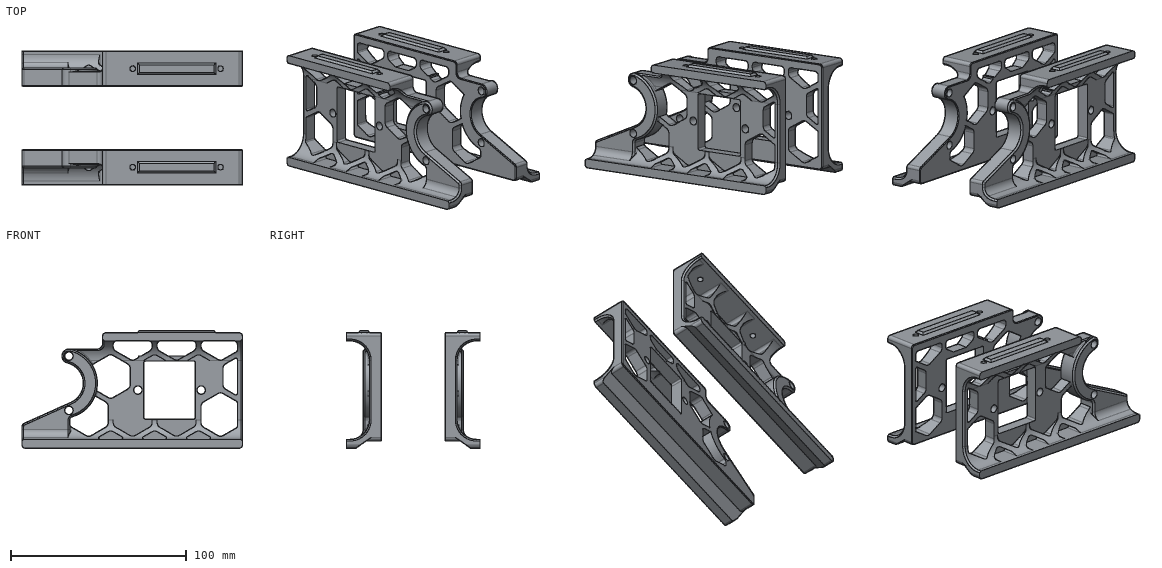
import cadquery as cq
import math

LENGTH = 125.5
SPAN = 76.0
PLATE_TOP = 65.8
PAD_HEIGHT = 1.3

LIP = 2.0
COVE_RADIUS = 11.0
WEB = 7.0
WEB_FACE = LIP + COVE_RADIUS
WIDTH = WEB_FACE + WEB
LOWER_FLANGE_TOP = 5.1
UPPER_FLANGE_BOTTOM = 61.1

FOOT_WIDTH = 5.3
STEP_RUN = 5.9
STEP_RISE = 4.1

EDGE_ROUND = 2.0
INNER_CHAMFER = 0.5
OUTER_CHAMFER = 1.0

HOOK_X = 23.03
HOOK_Z = 37.0
HOOK_RADIUS = 15.88
HOOK_HALF_WIDTH = 4.0
HOOK_HOLE_RISE = 15.4
HOOK_FACE = 9.5
NOSE_HEIGHT = 13.7
NOSE_BASE_END = 27.2
HOOK_COVE = 5.0
HOOK_FILLET = 0.6
STEP_X = 45.8
STEP_COVE = 3.0

HEX_PITCH = 25.0
HEX_FLATS = 22.1
HEX_ROUND = 3.0
TRIM_ROUND = 0.8
TOP_TRIM_ROUND = 2.0
HEX_X = 88.0
HEX_Z = 62.5
HEX_RIGHT_LIMIT = 122.5

THROUGH_CELLS = [(0, -1), (0, 0), (0, 1), (1, -1.5), (1, 1.5), (2, -2), (2, 1)]
POCKET_CELLS = [(0, 0), (1, -0.5), (1, 0.5), (2, -1), (2, 0), (3, -1.5), (3, -0.5), (3, 0.5)]

WINDOW_X = 84.0
WINDOW_Z = 33.1
WINDOW_LENGTH = 29.2
WINDOW_HEIGHT = 33.0
WINDOW_ROUND = 1.0
WINDOW_BORDER = 3.0
SCREW_SPACING = 36.0
SCREW_DIAMETER = 4.6

PAD_LENGTH = 44.7
PAD_WIDTH = 6.5
PAD_BEVEL = 1.1
PAD_DEPTH = WIDTH / 2
PIN_SPACING = 50.0
PIN_DIAMETER = 3.1
PIN_DEPTH = 10.0

TOLERANCE = 0.01

HOOK_INNER = HOOK_RADIUS - HOOK_HALF_WIDTH
HOOK_OUTER = HOOK_RADIUS + HOOK_HALF_WIDTH
HOLE_ANGLE = math.asin(HOOK_HOLE_RISE / HOOK_RADIUS)
HOOK_HOLE_X = HOOK_X + HOOK_RADIUS * math.cos(HOLE_ANGLE)
LOBE_Z = HOOK_Z + HOOK_HOLE_RISE
ARM_TOP = LOBE_Z + HOOK_HALF_WIDTH


def hook_point(radius, angle):
    """Point at a radius and angle from the hook centre, as (x, z)."""
    return HOOK_X + radius * math.cos(angle), HOOK_Z + radius * math.sin(angle)


def nose_tangent_angle():
    """Angle on the inner hook circle where the line from the nose corner is tangent."""
    drop = NOSE_HEIGHT - HOOK_Z
    to_nose = math.atan2(drop, -HOOK_X)
    return to_nose + math.acos(HOOK_INNER / math.hypot(HOOK_X, drop))


NOSE_TANGENT = hook_point(HOOK_INNER, nose_tangent_angle())
LOBE_INNER = hook_point(HOOK_INNER, HOLE_ANGLE)
LOBE_OUTER = hook_point(HOOK_OUTER, HOLE_ANGLE)
LOBE_LEFT = (HOOK_HOLE_X - HOOK_HALF_WIDTH, LOBE_Z)


def side_plane(depth):
    """XZ sketch plane at a depth from the outer edge; a negative extrusion goes inward."""
    return cq.Workplane("XZ", origin=(0, depth, 0))


def box(x0, x1, y0, y1, z0, z1):
    return cq.Workplane("XY").box(x1 - x0, y1 - y0, z1 - z0, centered=False).translate((x0, y0, z0))


def edges_near(body, points):
    selected = body.newObject([])
    for p in points:
        selected = selected.add(body.edges(cq.selectors.NearestToPointSelector(p)))
    return selected


def outline_block():
    block = (
        side_plane(0)
        .moveTo(0, 0)
        .lineTo(LENGTH, 0)
        .lineTo(LENGTH, PLATE_TOP)
        .lineTo(STEP_X, PLATE_TOP)
        .lineTo(STEP_X, ARM_TOP)
        .lineTo(HOOK_HOLE_X, ARM_TOP)
        .threePointArc(LOBE_LEFT, LOBE_INNER)
        .threePointArc((HOOK_X + HOOK_INNER, HOOK_Z), NOSE_TANGENT)
        .lineTo(0, NOSE_HEIGHT)
        .close()
        .extrude(-WIDTH)
    )
    mid = WIDTH / 2
    block = edges_near(block, [(0, mid, NOSE_HEIGHT), (STEP_X, mid, PLATE_TOP), (LENGTH, mid, PLATE_TOP)]
                       ).fillet(EDGE_ROUND)
    return edges_near(block, [(STEP_X, mid, ARM_TOP)]).fillet(STEP_COVE)


def underside_step():
    slope_end = FOOT_WIDTH + STEP_RUN
    return (
        cq.Workplane("YZ")
        .polyline([(FOOT_WIDTH, 0), (slope_end, STEP_RISE), (WIDTH, STEP_RISE), (WIDTH, 0)])
        .close()
        .extrude(LENGTH)
    )


def cove_cutter():
    """Channel between the flanges, with a large cove against the web at each flange."""
    low = LOWER_FLANGE_TOP + COVE_RADIUS
    high = UPPER_FLANGE_BOTTOM - COVE_RADIUS
    reach = COVE_RADIUS * math.sqrt(0.5)
    return (
        cq.Workplane("YZ")
        .moveTo(0, LOWER_FLANGE_TOP)
        .lineTo(LIP, LOWER_FLANGE_TOP)
        .threePointArc((LIP + reach, low - reach), (WEB_FACE, low))
        .lineTo(WEB_FACE, high)
        .threePointArc((LIP + reach, high + reach), (LIP, UPPER_FLANGE_BOTTOM))
        .lineTo(0, UPPER_FLANGE_BOTTOM)
        .close()
        .extrude(LENGTH)
    )


def frame_blank():
    block = outline_block().cut(underside_step())
    ends = []
    for x in (0, LENGTH):
        ends += [(x, FOOT_WIDTH / 2, 0), (x, WIDTH - 1.3, STEP_RISE)]
    block = edges_near(block, ends).fillet(EDGE_ROUND)
    return block.faces(">Y").edges().chamfer(INNER_CHAMFER)


def is_in_channel(edge, deepest):
    """True for an edge of a channel: off the outer edge, and not beyond its deepest face."""
    box_of_edge = edge.BoundingBox()
    return (
        box_of_edge.ymax < deepest + TOLERANCE
        and box_of_edge.zmin > LOWER_FLANGE_TOP - TOLERANCE
        and box_of_edge.zmax < UPPER_FLANGE_BOTTOM + TOLERANCE
        and box_of_edge.ymax > TOLERANCE
    )


def chamfered_frame(blank):
    frame = blank.cut(cove_cutter())

    def exposed(edge):
        b = edge.BoundingBox()
        on_end = b.xmin > LENGTH - TOLERANCE or b.xmax < TOLERANCE
        on_arm = (
            b.zmax > ARM_TOP - TOLERANCE
            and b.xmin > HOOK_HOLE_X - TOLERANCE
            and b.xmax < STEP_X + TOLERANCE
        )
        return is_in_channel(edge, WEB_FACE) and (on_end or on_arm)

    edges = [e for e in frame.edges().vals() if exposed(e)]
    return frame.newObject(edges).chamfer(OUTER_CHAMFER)


def hook_plan():
    base_top = HOOK_Z - math.sqrt(HOOK_OUTER**2 - (NOSE_BASE_END - HOOK_X) ** 2)
    lobe_angle = (HOLE_ANGLE + math.pi / 2) / 2
    lobe_mid = (
        HOOK_HOLE_X + HOOK_HALF_WIDTH * math.cos(lobe_angle),
        LOBE_Z + HOOK_HALF_WIDTH * math.sin(lobe_angle),
    )
    plan = (
        side_plane(0)
        .moveTo(-1.3, -1.3)
        .lineTo(NOSE_BASE_END, -1.3)
        .lineTo(NOSE_BASE_END, base_top)
        .threePointArc((HOOK_X + HOOK_OUTER, HOOK_Z), LOBE_OUTER)
        .threePointArc(lobe_mid, (HOOK_HOLE_X, ARM_TOP))
        .lineTo(-1.3, ARM_TOP)
        .close()
        .extrude(-WIDTH)
    )
    return edges_near(plan, [(NOSE_BASE_END, WIDTH / 2, base_top)]).fillet(EDGE_ROUND)


def hook_cutter():
    """Material in front of the hook: its flat face, a small cove, then the frame's large cove."""
    low = LOWER_FLANGE_TOP + COVE_RADIUS
    centre_y = HOOK_FACE - HOOK_COVE
    gap = COVE_RADIUS - HOOK_COVE
    centre_z = low - math.sqrt(gap**2 - (centre_y - LIP) ** 2)
    lean = math.atan2(low - centre_z, centre_y - LIP)

    def on_arc(y, z, radius, angle):
        return y + radius * math.cos(angle), z - radius * math.sin(angle)

    return (
        cq.Workplane("YZ")
        .moveTo(-1.3, LOWER_FLANGE_TOP)
        .lineTo(LIP, LOWER_FLANGE_TOP)
        .threePointArc(
            on_arc(LIP, low, COVE_RADIUS, (lean + math.pi / 2) / 2),
            on_arc(LIP, low, COVE_RADIUS, lean),
        )
        .threePointArc(on_arc(centre_y, centre_z, HOOK_COVE, lean / 2), (HOOK_FACE, centre_z))
        .lineTo(HOOK_FACE, PLATE_TOP)
        .lineTo(-1.3, PLATE_TOP)
        .close()
        .extrude(LENGTH)
    )


def hook(blank):
    body = blank.intersect(hook_plan()).cut(hook_cutter())

    def exposed(edge):
        b = edge.BoundingBox()
        on_face = b.ymin > HOOK_FACE - TOLERANCE
        on_end = b.xmax < TOLERANCE or b.xmin > NOSE_BASE_END - TOLERANCE
        return is_in_channel(edge, HOOK_FACE) and (on_face or on_end)

    edges = [e for e in body.edges().vals() if exposed(e)]
    return body.newObject(edges).chamfer(OUTER_CHAMFER)


def fillet_hook_wall(body):
    """Round the inside corners where the hook's outer wall meets the web and the coves."""

    def on_wall(point):
        from_centre = math.hypot(point.x - HOOK_X, point.z - HOOK_Z)
        return abs(from_centre - HOOK_OUTER) < TOLERANCE or abs(point.x - NOSE_BASE_END) < TOLERANCE

    def is_inside_corner(edge):
        deepest = edge.BoundingBox().ymax
        return (
            edge.geomType() != "LINE"
            and all(on_wall(edge.positionAt(step / 4)) for step in range(5))
            and HOOK_FACE + 2 * OUTER_CHAMFER < deepest < WEB_FACE + TOLERANCE
            and edge.Center().z < ARM_TOP - OUTER_CHAMFER
            and edge.Length() > 2 * HOOK_FILLET
        )

    corners = [edge for edge in body.edges().vals() if is_inside_corner(edge)]
    return body.newObject(corners).fillet(HOOK_FILLET)


def hex_cell(row, column):
    """Rounded hexagonal prism of the grid, trimmed at the flanges and at the +X border."""
    row_spacing = HEX_PITCH * math.sqrt(3) / 2
    x = HEX_X + HEX_PITCH * column
    z = HEX_Z - row_spacing * row
    cell = (
        side_plane(0)
        .center(x, z)
        .transformed(rotate=(0, 0, 90))
        .polygon(6, HEX_FLATS * 2 / math.sqrt(3))
        .extrude(-WIDTH)
    )
    limits = box(0, HEX_RIGHT_LIMIT, 0, WIDTH, LOWER_FLANGE_TOP, UPPER_FLANGE_BOTTOM)
    cell = cell.intersect(limits)

    def corner_round(edge):
        corner = edge.Center()
        if abs(corner.z - UPPER_FLANGE_BOTTOM) < TOLERANCE:
            return TOP_TRIM_ROUND
        if abs(corner.z - LOWER_FLANGE_TOP) < TOLERANCE or abs(corner.x - HEX_RIGHT_LIMIT) < TOLERANCE:
            return TRIM_ROUND
        return HEX_ROUND

    corners = [(edge.Center(), corner_round(edge)) for edge in cell.edges("|Y").vals()]
    for corner, radius in corners:
        cell = edges_near(cell, [corner]).fillet(radius)
    return cell


def window_block(border):
    return (
        side_plane(0)
        .center(WINDOW_X, WINDOW_Z)
        .rect(WINDOW_LENGTH + 2 * border, WINDOW_HEIGHT + 2 * border)
        .extrude(-WIDTH)
    )


def cut_honeycomb(body):
    pocket_depth = box(0, LENGTH, 0, WEB_FACE, 0, PLATE_TOP)
    window_frame = window_block(WINDOW_BORDER)
    hook_solid = hook_plan()
    for row, column in THROUGH_CELLS:
        body = body.cut(hex_cell(row, column).cut(window_frame).cut(hook_solid))
    for row, column in POCKET_CELLS:
        body = body.cut(hex_cell(row, column).intersect(pocket_depth))
    return body


def cut_window(body):
    screws = (
        side_plane(0)
        .pushPoints([(WINDOW_X + side * SCREW_SPACING / 2, WINDOW_Z) for side in (-1, 1)])
        .circle(SCREW_DIAMETER / 2)
        .extrude(-WIDTH)
    )
    return body.cut(window_block(0).edges("|Y").fillet(WINDOW_ROUND)).cut(screws)


def cut_clamp_holes(body):
    holes = (
        side_plane(0)
        .pushPoints([(HOOK_HOLE_X, HOOK_Z + side * HOOK_HOLE_RISE) for side in (-1, 1)])
        .circle(SCREW_DIAMETER / 2)
        .extrude(-WIDTH)
    )
    return body.cut(holes)


def add_pad(body):
    pad = (
        cq.Workplane("XY", origin=(HEX_X, PAD_DEPTH, PLATE_TOP))
        .rect(PAD_LENGTH, PAD_WIDTH)
        .extrude(PAD_HEIGHT, taper=math.degrees(math.atan2(PAD_BEVEL, PAD_HEIGHT)))
    )
    return body.union(pad)


def cut_pin_holes(body):
    pins = (
        cq.Workplane("XY", origin=(HEX_X, PAD_DEPTH, PLATE_TOP))
        .pushPoints([(-PIN_SPACING / 2, 0), (PIN_SPACING / 2, 0)])
        .circle(PIN_DIAMETER / 2)
        .extrude(-PIN_DEPTH)
    )
    return body.cut(pins)


def bracket():
    blank = frame_blank()
    body = chamfered_frame(blank).union(hook(blank))
    body = fillet_hook_wall(cut_honeycomb(body))
    body = cut_window(body)
    body = cut_clamp_holes(body)
    body = add_pad(body)
    return cut_pin_holes(body).translate((0, -SPAN / 2, 0))


brackets = []
near_bracket = bracket()
for mirrored in (False, True):
    side = near_bracket.mirror("XZ") if mirrored else near_bracket
    brackets.append(side.val())

result = cq.Compound.makeCompound(brackets)